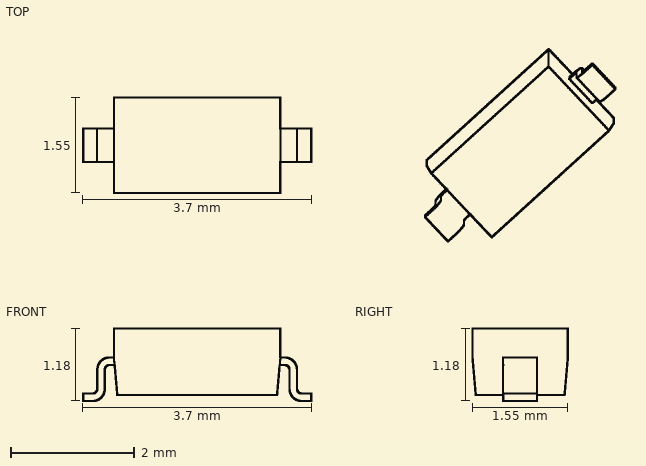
import cadquery as cq
import math

overall_length = 3.7
body_length = 2.7
body_width = 1.55
body_top = 1.18
body_bottom = 0.1
parting_height = 0.71
draft_angle = 5.0

lead_width = 0.55
lead_thickness = 0.125
inner_bend_radius = 0.075
outer_bend_radius = inner_bend_radius + lead_thickness
foot_flat_length = 0.155
lead_embed = 0.2

band_width = 0.235
band_end_gap = 0.325
band_depth = 0.05
band_side_taper = 45.0


def make_body():
    """Straight upper half on a lower half that tapers in toward the bottom."""
    upper = (
        cq.Workplane("XY")
        .workplane(offset=parting_height)
        .rect(body_length, body_width)
        .extrude(body_top - parting_height)
    )
    lower = (
        cq.Workplane("XY")
        .workplane(offset=parting_height)
        .rect(body_length, body_width)
        .extrude(body_bottom - parting_height, taper=draft_angle)
    )
    return upper.union(lower)


def make_lead():
    """Lead on the +X end: shoulder, bend down, leg, bend out, foot."""
    tip_x = overall_length / 2
    foot_bend_x = tip_x - foot_flat_length
    leg_outer_x = foot_bend_x - inner_bend_radius
    leg_inner_x = leg_outer_x - lead_thickness
    shoulder_bend_x = leg_outer_x - outer_bend_radius
    root_x = body_length / 2 - lead_embed
    shoulder_top = parting_height
    shoulder_bottom = shoulder_top - lead_thickness
    shoulder_bend_z = shoulder_top - outer_bend_radius
    foot_bend_z = outer_bend_radius

    def bend_middle(center_x, center_z, radius, direction):
        offset = direction * radius * math.sqrt(0.5)
        return (center_x + offset, center_z + offset)

    profile = (
        cq.Workplane("XZ", origin=(0, lead_width / 2, 0))
        .moveTo(root_x, shoulder_top)
        .lineTo(shoulder_bend_x, shoulder_top)
        .threePointArc(
            bend_middle(shoulder_bend_x, shoulder_bend_z, outer_bend_radius, 1),
            (leg_outer_x, shoulder_bend_z),
        )
        .lineTo(leg_outer_x, foot_bend_z)
        .threePointArc(
            bend_middle(foot_bend_x, foot_bend_z, inner_bend_radius, -1),
            (foot_bend_x, lead_thickness),
        )
        .lineTo(tip_x, lead_thickness)
        .lineTo(tip_x, 0)
        .lineTo(foot_bend_x, 0)
        .threePointArc(
            bend_middle(foot_bend_x, foot_bend_z, outer_bend_radius, -1),
            (leg_inner_x, foot_bend_z),
        )
        .lineTo(leg_inner_x, shoulder_bend_z)
        .threePointArc(
            bend_middle(shoulder_bend_x, shoulder_bend_z, inner_bend_radius, 1),
            (shoulder_bend_x, shoulder_bottom),
        )
        .lineTo(root_x, shoulder_bottom)
        .close()
    )
    return profile.extrude(lead_width)


def make_band():
    """Cathode band inlay, a wedge that meets the body surface only at the top face."""
    band_center_x = body_length / 2 - band_end_gap - band_width / 2
    return (
        cq.Workplane("XY", origin=(band_center_x, 0, body_top))
        .rect(band_width, body_width)
        .extrude(-band_depth, taper=band_side_taper)
    )


lead = make_lead()
package = make_body().union(lead).union(lead.mirror("YZ"))

result = package.union(make_band(), clean=False)